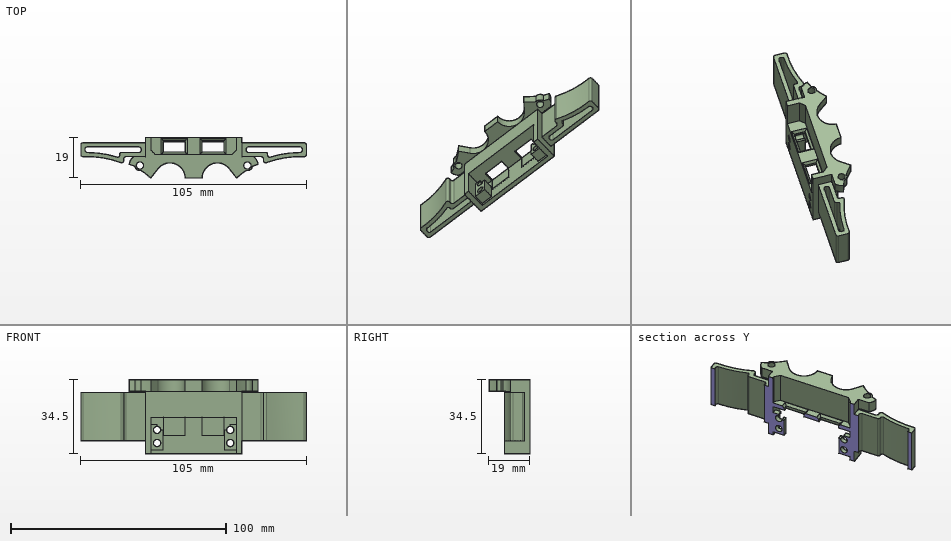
import cadquery as cq
import math


half_length = 52.5
body_height = 34.5
body_half_width = 22.5
body_depth = 12.0
cheek_thickness = 2.5
inner_half_width = body_half_width - cheek_thickness

cavity_depth = 8.1
cavity_corner = 2.2
floor_thickness = 2.5

pocket_drop = 17.5
back_wall = 2.1
floor_drop = pocket_drop - floor_thickness

window_center_x = 9.0
window_width = 10.1
window_back = 1.6
window_depth = 5.2
window_chamfer = 1.0
window_bottom_drop = 25.9

boss_inner_x = 14.3
boss_front = 7.0
boss_top_drop = 20.8
boss_bottom_drop = 32.7
screw_x = 17.0
screw_drops = (23.4, 29.5)
screw_diameter = 3.3

plate_thickness = 5.5
plate_front = 19.0
bay_center_x = 11.0
bay_radius = 7.0
ear_hole_x = 25.0
ear_hole_depth = 13.1
ear_hole_diameter = 3.3
ear_tip_radius = 5.0
ear_tip_end_angle = -6
lug_radius = 2.4
ear_edge_radius = 34.6
lug_start_angle = 11
lug_end_angle = 103

arm_top_drop = 6.0
arm_height = 22.5
arm_back = 2.5
arm_front = 9.0
arm_wall = 2.0
hook_x = 32.4
curve_center_x = 49.6
curve_radius = 45.2
corner_radius = 1.0
slot_step_radius = 0.8
position_tolerance = 0.01


def block(x_range, depth_range, drop_range):
    """A box between two x positions, two depths and two drops."""
    left, right = x_range
    back, front = depth_range
    top, bottom = drop_range
    shape = cq.Workplane("XY").box(right - left, front - back, bottom - top, centered=False)
    return shape.translate((left, -front, -bottom))


def ear_point(radius, angle):
    """A point around the ear hole; the angle turns from +X towards the front."""
    turn = math.radians(angle)
    return ear_hole_x + radius * math.cos(turn), -ear_hole_depth - radius * math.sin(turn)


def make_body():
    body = block((0, body_half_width), (0, body_depth), (0, body_height))
    cavity = block((-inner_half_width, inner_half_width), (0, cavity_depth), (0, floor_drop))
    cavity = cavity.edges("|Z and <Y").chamfer(cavity_corner)
    pocket = block((0, inner_half_width), (back_wall, body_depth), (pocket_drop, body_height))
    return body.cut(cavity).cut(pocket)


def make_window():
    """The window through the floor, flared at its top and running down into the back wall."""
    x_range = (window_center_x - window_width / 2, window_center_x + window_width / 2)
    depth_range = (window_back, window_back + window_depth)
    shaft = block(x_range, depth_range, (floor_drop, window_bottom_drop))
    flare = (
        cq.Workplane("XY", origin=(window_center_x, -window_back - window_depth / 2, -floor_drop))
        .rect(window_width + 2 * window_chamfer, window_depth + 2 * window_chamfer)
        .workplane(offset=-window_chamfer)
        .rect(window_width, window_depth)
        .loft(ruled=True)
    )
    return shaft.union(flare)


def make_boss():
    """A boss with its upper inner corner cut back to the centre of the upper screw hole."""
    depth_range = (back_wall, boss_front)
    boss = block((boss_inner_x, inner_half_width), depth_range, (boss_top_drop, boss_bottom_drop))
    return boss.cut(block((boss_inner_x, screw_x), depth_range, (boss_top_drop, screw_drops[0])))


def make_screw_holes():
    return (
        cq.Workplane("XZ")
        .pushPoints([(screw_x, -drop) for drop in screw_drops])
        .circle(screw_diameter / 2)
        .extrude(boss_front)
    )


def make_plate():
    apex_x = inner_half_width
    tangent_angle = math.acos(bay_radius / (apex_x - bay_center_x))
    tangent_point = (
        bay_center_x + bay_radius * math.cos(tangent_angle),
        -plate_front + bay_radius * math.sin(tangent_angle),
    )
    ear_back_angle = -math.degrees(math.asin((ear_hole_depth - arm_front) / ear_tip_radius))
    ear_mid_angle = (ear_back_angle + ear_tip_end_angle) / 2
    lug_mid_angle = (lug_start_angle + lug_end_angle) / 2
    outline = (
        cq.Workplane("XY")
        .moveTo(0, -cavity_depth)
        .lineTo(0, -plate_front)
        .lineTo(bay_center_x - bay_radius, -plate_front)
        .threePointArc((bay_center_x, -plate_front + bay_radius), tangent_point)
        .lineTo(apex_x, -plate_front)
        .radiusArc(ear_point(lug_radius, lug_end_angle), ear_edge_radius)
        .threePointArc(ear_point(lug_radius, lug_mid_angle), ear_point(lug_radius, lug_start_angle))
        .radiusArc(ear_point(ear_tip_radius, ear_tip_end_angle), ear_edge_radius)
        .threePointArc(
            ear_point(ear_tip_radius, ear_mid_angle),
            ear_point(ear_tip_radius, ear_back_angle),
        )
        .lineTo(inner_half_width, -arm_front)
        .lineTo(inner_half_width - cavity_corner, -cavity_depth)
        .close()
    )
    ear_hole = cq.Workplane("XY").center(ear_hole_x, -ear_hole_depth).circle(ear_hole_diameter / 2)
    return outline.extrude(-plate_thickness).cut(ear_hole.extrude(-plate_thickness))


def arm_profile(inset):
    """The closed arm shape with its hook, moved inward by the inset, as a prism."""
    radius = curve_radius + inset
    center_depth = arm_front + curve_radius
    flat_depth = arm_front - inset

    def curve_depth(x):
        return center_depth - math.sqrt(radius**2 - (curve_center_x - x) ** 2)

    root_x = body_half_width + inset
    end_x = half_length - inset
    step_x = hook_x + inset
    mid_x = (step_x + end_x) / 2
    prism = (
        cq.Workplane("XY", origin=(0, 0, -arm_top_drop))
        .moveTo(root_x, -arm_back - inset)
        .lineTo(end_x, -arm_back - inset)
        .lineTo(end_x, -curve_depth(end_x))
        .threePointArc((mid_x, -curve_depth(mid_x)), (step_x, -curve_depth(step_x)))
        .lineTo(step_x, -flat_depth)
        .lineTo(root_x, -flat_depth)
        .close()
        .extrude(-arm_height)
    )
    return prism, (root_x, end_x, step_x)


def round_corners(prism, corner_xs, radius):
    """Round the upright edges that stand at the given x positions."""

    def stands_there(edge):
        return any(abs(edge.Center().x - x) < position_tolerance for x in corner_xs)

    return prism.edges("|Z").filter(stands_there).fillet(radius)


def make_arm():
    outer, (_, end_x, step_x) = arm_profile(0)
    outer = round_corners(outer, (end_x, step_x), corner_radius)
    slot, (root_x, end_x, step_x) = arm_profile(arm_wall)
    slot = round_corners(slot, (root_x, end_x), corner_radius)
    slot = round_corners(slot, (step_x,), slot_step_radius)
    return outer.cut(slot)


half = (
    make_body()
    .cut(make_window())
    .union(make_boss())
    .cut(make_screw_holes())
    .union(make_plate())
    .union(make_arm())
)
result = half.union(half.mirror("YZ")).clean()